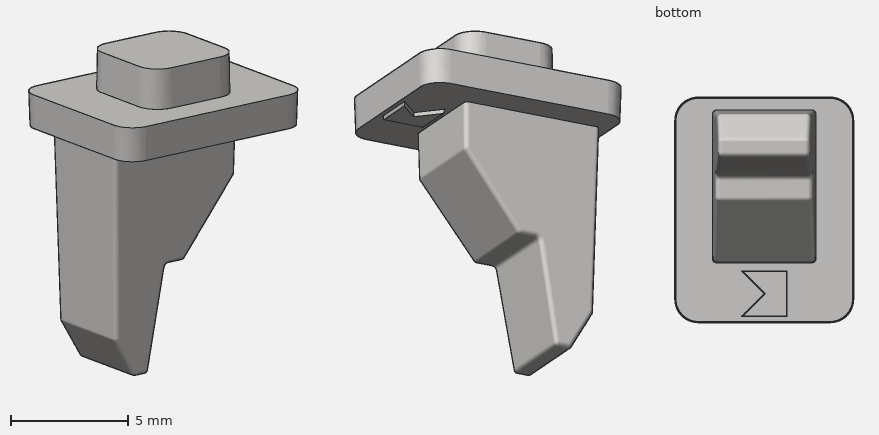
import cadquery as cq

total_height = 13.55
plate_top = 11.76
plate_bottom = 10.23

plate_width = 7.64
plate_length = 9.63
plate_corner = 1.0
plate_draft = 2.0
knob_size = 4.63
knob_corner = 1.0
knob_draft = 1.0

leg_top_width = 4.43
leg_tip_width = 3.92
leg_edge_radius = 0.2
step_radius = 0.2
leg_profile = [
    (2.26, plate_bottom),
    (2.22, 8.12),
    (-0.43, 4.75),
    (-1.42, 4.75),
    (-2.28, 0.0),
    (-3.02, 0.0),
    (-4.08, 1.8),
    (-4.27, plate_bottom),
]
step_corner = leg_profile[3]

pad_size = 1.95
pad_height = 0.18
pad_draft = 10.0
pad_y = 3.58


def make_plate():
    return (
        cq.Workplane("XY", origin=(0, 0, plate_top))
        .sketch()
        .rect(plate_width, plate_length)
        .vertices()
        .fillet(plate_corner)
        .finalize()
        .extrude(plate_bottom - plate_top, taper=plate_draft)
    )


def make_knob():
    return (
        cq.Workplane("XY", origin=(0, 0, plate_top))
        .sketch()
        .rect(knob_size, knob_size)
        .vertices()
        .fillet(knob_corner)
        .finalize()
        .extrude(total_height - plate_top, taper=knob_draft)
    )


def make_leg():
    side_shape = (
        cq.Workplane("YZ")
        .polyline(leg_profile)
        .close()
        .extrude(leg_top_width / 2, both=True)
    )
    front_shape = (
        cq.Workplane("XZ")
        .polyline([
            (-leg_top_width / 2, plate_bottom),
            (leg_top_width / 2, plate_bottom),
            (leg_tip_width / 2, 0),
            (-leg_tip_width / 2, 0),
        ])
        .close()
        .extrude(plate_length, both=True)
    )
    step_y, step_z = step_corner
    near_step = cq.selectors.BoxSelector(
        (-leg_top_width, step_y - 0.01, step_z - 0.01),
        (leg_top_width, step_y + 0.01, step_z + 0.01),
    )
    leg = side_shape.intersect(front_shape)
    leg = leg.edges("|X").edges(near_step).fillet(step_radius)
    return leg.edges("not(>Z)").fillet(leg_edge_radius)


def make_pad():
    half = pad_size / 2
    notched_square = [
        (-half, -half),
        (half, -half),
        (half, half),
        (-half, half),
        (0, 0),
    ]
    return (
        cq.Workplane("XY", origin=(0, pad_y, plate_bottom))
        .polyline(notched_square)
        .close()
        .extrude(-pad_height, taper=pad_draft)
    )


result = make_plate().union(make_knob()).union(make_leg()).union(make_pad())